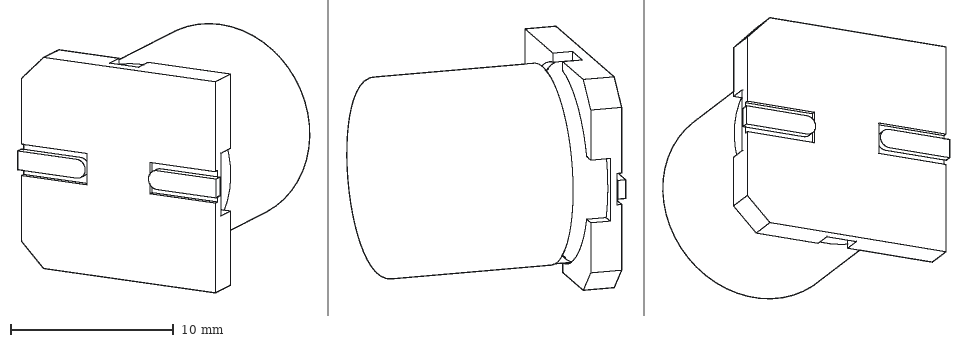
import cadquery as cq
import math


total_length = 14.0
lead_span = 13.8

base_side = 13.5
base_thickness = 2.0
corner_chamfer = 1.54
seat_depth = 1.26
side_notch_width = 4.0
end_notch_width = 2.0

lead_width = 1.2
lead_thickness = 0.5
lead_protrusion = 0.21
lead_inner_x = 2.2
lead_slot_width = 2.0
lead_slot_depth = lead_thickness - lead_protrusion

can_radius = 6.25
edge_round = 0.5
groove_depth = 0.49
groove_radius = 0.78
groove_y = 2.25

seat_y = base_thickness - seat_depth
can_top_y = total_length - lead_protrusion


def xz_plane(y):
    """Sketch plane at height y, with local axes X and Z; extrusions go toward -Y."""
    return cq.Workplane("XZ", origin=(0, y, 0))


def make_base():
    """Square plate with two cut corners, a round seat, edge notches and lead slots."""
    plate = xz_plane(base_thickness).rect(base_side, base_side).extrude(base_thickness)
    plate = plate.edges("|Y and <X").chamfer(corner_chamfer)

    seat = xz_plane(base_thickness).circle(can_radius).extrude(seat_depth)
    side_notches = xz_plane(base_thickness).rect(base_side, side_notch_width).extrude(seat_depth)
    end_notches = xz_plane(base_thickness).rect(end_notch_width, base_side).extrude(seat_depth)
    plate = plate.cut(seat).cut(side_notches).cut(end_notches)

    slot_length = base_side / 2 - lead_inner_x
    slot_center_x = lead_inner_x + slot_length / 2
    slots = (
        xz_plane(lead_slot_depth)
        .pushPoints([(-slot_center_x, 0), (slot_center_x, 0)])
        .rect(slot_length, lead_slot_width)
        .extrude(lead_slot_depth)
    )
    return plate.cut(slots)


def make_can():
    """Revolved can: rounded top edge, crimp groove, and a bead blending into the seated wall."""
    groove_center_r = can_radius - groove_depth + groove_radius
    neck_r = can_radius - groove_depth
    groove_half_height = math.sqrt(groove_radius**2 - (groove_center_r - can_radius) ** 2)

    bead_center_r = can_radius - edge_round
    radial_gap = groove_center_r - bead_center_r
    axial_gap = math.sqrt((groove_radius + edge_round) ** 2 - radial_gap**2)
    bead_y = groove_y - axial_gap
    blend_angle = math.atan2(axial_gap, radial_gap)
    blend_r = bead_center_r + edge_round * math.cos(blend_angle)
    blend_y = bead_y + edge_round * math.sin(blend_angle)
    bead_mid_r = bead_center_r + edge_round * math.cos(blend_angle / 2)
    bead_mid_y = bead_y + edge_round * math.sin(blend_angle / 2)

    top_round_y = can_top_y - edge_round
    top_mid_r = can_radius - edge_round + edge_round * math.cos(math.pi / 4)
    top_mid_y = top_round_y + edge_round * math.sin(math.pi / 4)

    profile_plane = cq.Plane(origin=(0, 0, 0), xDir=(0, 0, 1), normal=(-1, 0, 0))
    profile = (
        cq.Workplane(profile_plane)
        .moveTo(0, seat_y)
        .lineTo(can_radius, seat_y)
        .lineTo(can_radius, bead_y)
        .threePointArc((bead_mid_r, bead_mid_y), (blend_r, blend_y))
        .threePointArc((neck_r, groove_y), (can_radius, groove_y + groove_half_height))
        .lineTo(can_radius, top_round_y)
        .threePointArc((top_mid_r, top_mid_y), (can_radius - edge_round, can_top_y))
        .lineTo(0, can_top_y)
        .close()
    )
    return profile.revolve(360, (0, 0), (0, 1))


def make_lead(side):
    """Flat lead with a rounded inner tip; side is -1 for -X and +1 for +X."""
    outer_x = side * lead_span / 2
    tip_x = side * lead_inner_x
    half_width = lead_width / 2
    round_start_x = side * (lead_inner_x + half_width)
    return (
        xz_plane(lead_slot_depth)
        .moveTo(outer_x, -half_width)
        .lineTo(round_start_x, -half_width)
        .threePointArc((tip_x, 0), (round_start_x, half_width))
        .lineTo(outer_x, half_width)
        .close()
        .extrude(lead_thickness)
    )


base = make_base()
can = make_can()
leads = [make_lead(side) for side in (-1, 1)]

result = cq.Compound.makeCompound([base.val(), can.val(), *[lead.val() for lead in leads]])